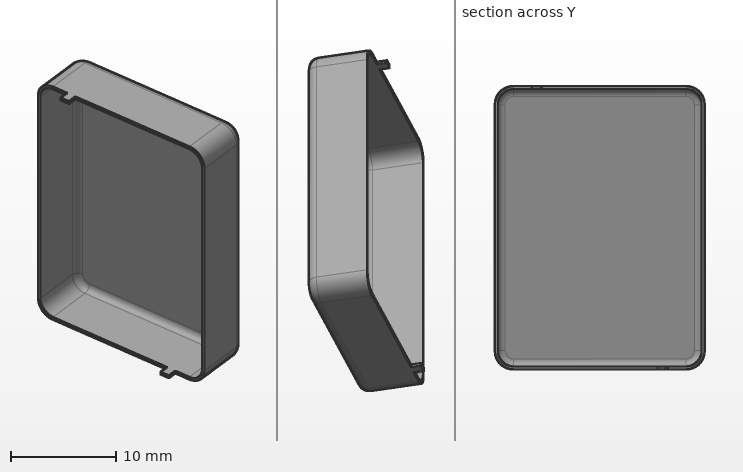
import cadquery as cq

width = 20.0
height = 27.0
total_depth = 7.0
tab_length = 1.0
tray_depth = total_depth - tab_length

wall = 0.3
corner_radius = 1.8
back_edge_radius = 1.0

tab_width = 1.0
tab_offset = 6.0

rim_y = -total_depth / 2 + tab_length
back_y = total_depth / 2


def rounded_block(inset, back_radius):
    """Block inset from the outer faces, with rounded corners and back edge."""
    return (
        cq.Workplane("XY")
        .box(width - 2 * inset, tray_depth - inset, height - 2 * inset)
        .translate((0, (rim_y + back_y - inset) / 2, 0))
        .edges("|Y")
        .fillet(corner_radius - inset)
        .faces(">Y")
        .edges()
        .fillet(back_radius)
    )


def rim_tab(side):
    """Tab flush with the top (side = 1) or bottom (side = -1) outer face."""
    return (
        cq.Workplane("XY")
        .box(tab_width, tab_length + wall, wall)
        .translate((
            -side * tab_offset,
            rim_y + (wall - tab_length) / 2,
            side * (height - wall) / 2,
        ))
    )


tray = rounded_block(0, back_edge_radius).cut(
    rounded_block(wall, back_edge_radius - wall)
)

result = tray
for side in (1, -1):
    result = result.union(rim_tab(side))